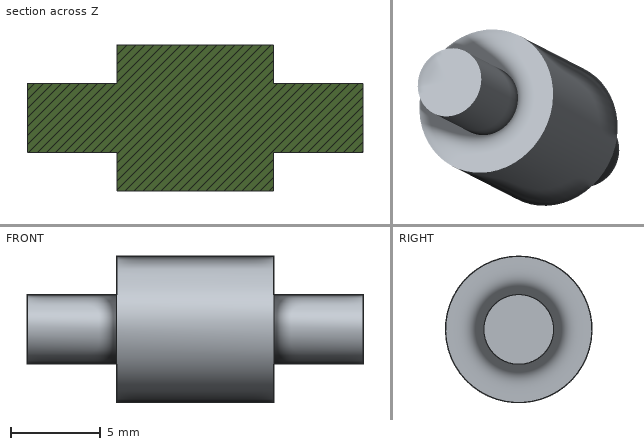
import cadquery as cq

body_diameter = 8.2
body_length = 8.8
journal_diameter = 3.9
journal_length = 5.0

body_radius = body_diameter / 2
journal_radius = journal_diameter / 2
body_end = body_length / 2
shaft_end = body_end + journal_length

half_section = (
    cq.Workplane("XZ")
    .moveTo(-shaft_end, 0)
    .lineTo(-shaft_end, journal_radius)
    .lineTo(-body_end, journal_radius)
    .lineTo(-body_end, body_radius)
    .lineTo(body_end, body_radius)
    .lineTo(body_end, journal_radius)
    .lineTo(shaft_end, journal_radius)
    .lineTo(shaft_end, 0)
    .close()
)

result = half_section.revolve(360, (0, 0, 0), (1, 0, 0))